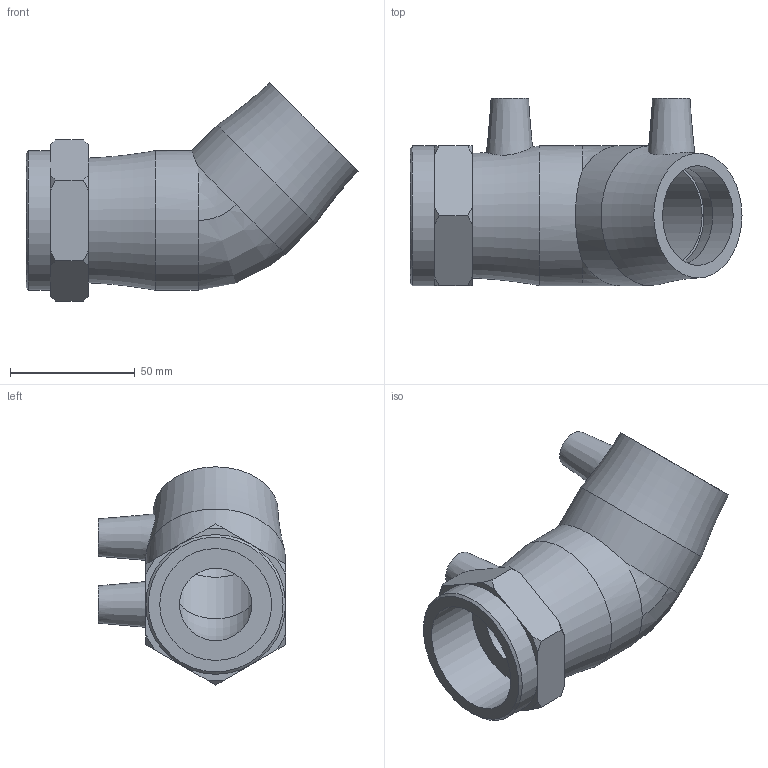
import cadquery as cq
import math

BEND_ANGLE = 45.0
BEND_RADIUS = 21.5
BEND_START_X = 69.0

LEG_DIAMETER = 56.0
LEG_STRAIGHT_LENGTH = 17.2
LEG_LENGTH = 44.1
LEG_MOUTH_DIAMETER = 50.0
NECK_HOLLOW = 0.5

INLET_BORE_DIAMETER = 29.0
BEND_BORE_DIAMETER = 34.0
OUTLET_BORE_DIAMETER = 40.0
GROOVE_START_DEPTH = 11.6
GROOVE_END_DEPTH = 17.6
GROOVE_HEIGHT = 1.0

COLLAR_DIAMETER = 56.0
COLLAR_CHAMFER = 1.0
HEX_ACROSS_FLATS = 56.0
HEX_START_X = 9.8
HEX_END_X = 25.0
HEX_CORNER_CHAMFER = 2.0
SOCKET_DIAMETER = 44.84
SOCKET_DEPTH = 23.0

TERMINAL_OFFSET = 29.0
TERMINAL_TIP_Y = 47.0
TERMINAL_TIP_DIAMETER = 15.0
TERMINAL_TAPER_ANGLE = 5.0

SIN_BEND = math.sin(math.radians(BEND_ANGLE))
COS_BEND = math.cos(math.radians(BEND_ANGLE))

INLET_FRAME = cq.Plane(origin=(BEND_START_X, 0, 0), xDir=(0, 1, 0), normal=(-1, 0, 0))
OUTLET_FRAME = cq.Plane(
    origin=(BEND_START_X + BEND_RADIUS * SIN_BEND, 0, BEND_RADIUS * (1 - COS_BEND)),
    xDir=(0, 1, 0),
    normal=(COS_BEND, 0, SIN_BEND),
)


def place(leg_shape, frame):
    """Move a shape built along +Z from the origin into a leg frame."""
    return cq.Workplane(obj=leg_shape.val().moved(frame.location))


def leg_body():
    """Solid leg along +Z: a straight length, then a slightly hollow neck narrowing to the mouth."""
    leg_radius = LEG_DIAMETER / 2
    mouth_radius = LEG_MOUTH_DIAMETER / 2
    middle_radius = (leg_radius + mouth_radius) / 2 - NECK_HOLLOW
    middle_length = (LEG_STRAIGHT_LENGTH + LEG_LENGTH) / 2
    return (
        cq.Workplane("XZ")
        .lineTo(leg_radius, 0)
        .lineTo(leg_radius, LEG_STRAIGHT_LENGTH)
        .threePointArc((middle_radius, middle_length), (mouth_radius, LEG_LENGTH))
        .lineTo(0, LEG_LENGTH)
        .close()
        .revolve(360, (0, 0, 0), (0, 1, 0))
    )


def bend_body():
    """Outside of the bend: the pipe section, cut flat at the bend axis, revolved about that axis.

    The round is drawn as a lower half and two short side arcs that reach up to the bend axis.
    """
    radius = LEG_DIAMETER / 2
    side_height = BEND_RADIUS / 2
    side_half_width = math.sqrt(radius**2 - side_height**2)
    top_half_width = math.sqrt(radius**2 - BEND_RADIUS**2)
    return (
        cq.Workplane("YZ", origin=(BEND_START_X, 0, 0))
        .moveTo(-top_half_width, BEND_RADIUS)
        .threePointArc((-side_half_width, side_height), (-radius, 0))
        .threePointArc((0, -radius), (radius, 0))
        .threePointArc((side_half_width, side_height), (top_half_width, BEND_RADIUS))
        .close()
        .revolve(BEND_ANGLE, (0, BEND_RADIUS, 0), (-1, BEND_RADIUS, 0))
    )


def bend_bore():
    return (
        cq.Workplane("YZ", origin=(BEND_START_X, 0, 0))
        .circle(BEND_BORE_DIAMETER / 2)
        .revolve(BEND_ANGLE, (0, BEND_RADIUS, 0), (-1, BEND_RADIUS, 0))
    )


def outlet_bore():
    """Bore along +Z with an undercut that widens inwards and ends in a flat shoulder."""
    radius = OUTLET_BORE_DIAMETER / 2
    groove_radius = radius + GROOVE_HEIGHT
    groove_start = LEG_LENGTH - GROOVE_START_DEPTH
    groove_end = LEG_LENGTH - GROOVE_END_DEPTH
    return (
        cq.Workplane("XZ")
        .lineTo(radius, 0)
        .lineTo(radius, groove_end)
        .lineTo(groove_radius, groove_end)
        .lineTo(radius, groove_start)
        .lineTo(radius, LEG_LENGTH)
        .lineTo(0, LEG_LENGTH)
        .close()
        .revolve(360, (0, 0, 0), (0, 1, 0))
    )


def across_corners(across_flats):
    return across_flats / math.cos(math.pi / 6)


def hexagon(across_flats, turn):
    """Hexagonal prism of the coupling, turned about X from having corners on the Y axis."""
    return (
        cq.Workplane("YZ", origin=(HEX_START_X, 0, 0))
        .transformed(rotate=(0, 0, turn))
        .polygon(6, across_corners(across_flats))
        .extrude(HEX_END_X - HEX_START_X)
    )


def coupling():
    """Collar and hexagon.

    The hexagon has flats facing +Y and -Y. Its corners are bevelled by a larger chamfered hexagon,
    turned by 30 degrees so that its flats touch them.
    """
    collar = (
        cq.Workplane("YZ")
        .circle(COLLAR_DIAMETER / 2)
        .extrude(HEX_START_X)
        .faces("<X")
        .chamfer(COLLAR_CHAMFER)
    )
    bevels = hexagon(across_corners(HEX_ACROSS_FLATS), 0).faces("<X or >X").chamfer(HEX_CORNER_CHAMFER)
    return collar.union(hexagon(HEX_ACROSS_FLATS, 30).intersect(bevels))


def terminal(x, z):
    """Round pin along +Y, tapering from the leg's centre line to its tip."""
    tip_radius = TERMINAL_TIP_DIAMETER / 2
    root_radius = tip_radius + TERMINAL_TIP_Y * math.tan(math.radians(TERMINAL_TAPER_ANGLE))
    cone = cq.Solid.makeCone(root_radius, tip_radius, TERMINAL_TIP_Y, cq.Vector(x, 0, z), cq.Vector(0, 1, 0))
    return cq.Workplane(obj=cone)


body = place(leg_body(), INLET_FRAME).union(bend_body()).union(place(leg_body(), OUTLET_FRAME))
body = body.union(coupling())
for frame in (INLET_FRAME, OUTLET_FRAME):
    centre = frame.origin + frame.zDir * TERMINAL_OFFSET
    body = body.union(terminal(centre.x, centre.z))

inlet_bore = cq.Workplane("YZ").circle(INLET_BORE_DIAMETER / 2).extrude(BEND_START_X)
socket = cq.Workplane("YZ").circle(SOCKET_DIAMETER / 2).extrude(SOCKET_DEPTH)
result = body.cut(inlet_bore).cut(socket).cut(bend_bore()).cut(place(outlet_bore(), OUTLET_FRAME))